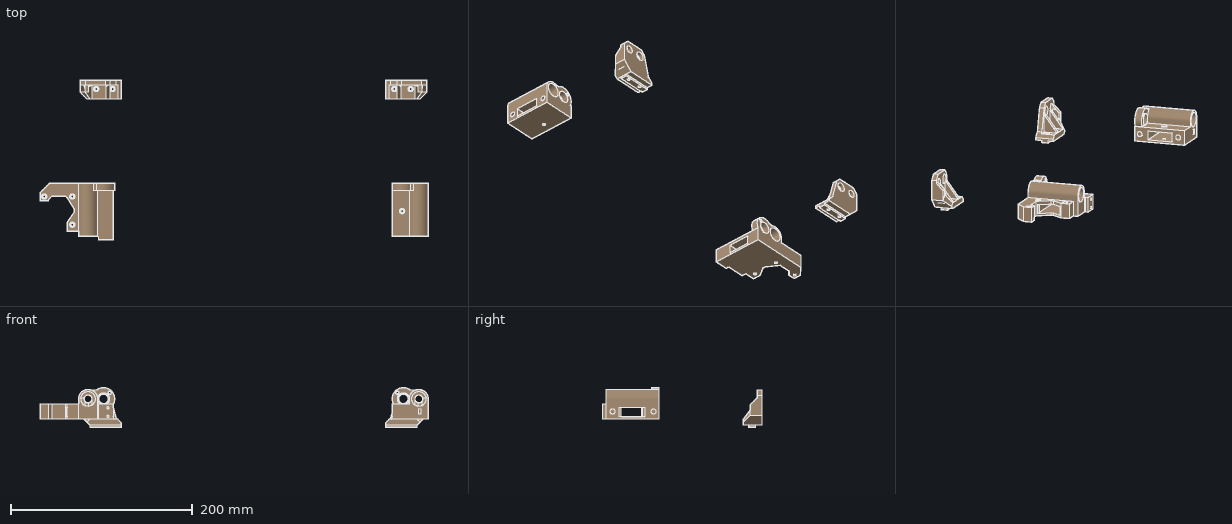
import cadquery as cq


bearing_x = -182.0
rod_pitch = 17.0
rod_x = bearing_x + rod_pitch
axis_z = 31.4

carriage_front = 3.8
carriage_back = 62.2
block_bottom = 9.2
block_top = 25.8
block_mid_z = (block_bottom + block_top) / 2
block_inner_x = -154.0
housing_radius = 10.5
bearing_bore_radius = 8.0
web_offset = 6.0
web_rise = 9.8
lug_depth = 8.2
lug_front = carriage_back - lug_depth
lug_top = 43.88
lug_radius = lug_top - axis_z
lug_bore_radius = 6.7
lug_pin_radius = 1.7
lug_pin_offset = 6.6
window_back = 46.6
window_left = -210.0
window_bottom = 11.8
window_top = 21.8
screw_radius = 1.6
counterbore_radius = 2.9
counterbore_depth = 3.0
wall_x = bearing_x + housing_radius
web_top = axis_z + web_rise

arm_left = -234.75
arm_chamfer = 10.3
arm_end_y = 42.7
arm_end_width = 9.3
arm_inner_y = 47.8
arm_relief = 3.6
motor_hole_pitch = 31.0
motor_hole_x = -230.3
motor_hole_y = 47.6
motor_window_front = 20.6
foot_front = 9.2
foot_left = -205.1
foot_notch_y = 19.0
notch_tip_x = -197.3
notch_tip_half = 1.6
notch_top_y = 46.2
clamp_step = 0.9
clamp_left = wall_x + clamp_step
clamp_hole_x = -160.2
clamp_hole_radius = 1.2
clamp_hole_heights = (12.2, 21.6)
clamp_hole_depth = 10.0

idler_inner_x = rod_x + lug_radius
idler_hole_x = 163.6
idler_hole_y = 31.5
idler_window_front = 18.2
side_hole_radius = 2.8
side_hole_front_inset = 7.4
side_hole_back_inset = 6.0
side_hole_ys = (carriage_front + side_hole_front_inset, carriage_back - side_hole_back_inset)
nut_slot_x = 183.0
nut_slot_width = 2.6
nut_slot_height = 5.5
nut_slot_depth = 8.5

bracket_back = 175.53
bracket_depth = 20.7
bracket_left = -190.8
bracket_right = -145.4
bracket_top = 41.2
plate_thickness = 5.5
base_bottom = 2.4
floor_z = 9.0
top_chamfer = 5.8
shoulder_x = -162.8
shoulder_run = 5.0
flank_x = -151.0
flank_z = 10.7
bottom_chamfer = 10.8
end_wall_depth = 13.2
end_wall_right = -185.2
end_wall_top = 32.5
ribs = ((-181.3, -177.5), (-162.2, -157.8))
rib_top = 29.0
key_width = 7.6
key_center_depth = 10.8
key_left = bracket_left + bottom_chamfer
bearing_rod_hole_radius = 4.2
plain_rod_hole_radius = 5.1
screw_hole_xs = (-173.0, -155.0)
screw_depth = 9.7


def box(x0, x1, y0, y1, z0, z1):
    """Box between two limits on each axis."""
    return cq.Workplane("XY").box(x1 - x0, y1 - y0, z1 - z0, centered=False).translate((x0, y0, z0))


def cylinder_y(x, z, radius, y0, y1):
    """Cylinder along Y from y0 to y1."""
    return cq.Workplane("XZ").center(x, z).circle(radius).extrude(y0 - y1).translate((0, y0, 0))


def cylinder_x(y, z, radius, x0, x1):
    """Cylinder along X from x0 to x1."""
    return cq.Workplane("YZ").center(y, z).circle(radius).extrude(x1 - x0).translate((x0, 0, 0))


def cylinder_z(x, y, radius, z0, z1):
    """Cylinder along Z from z0 to z1."""
    return cq.Workplane("XY").center(x, y).circle(radius).extrude(z1 - z0).translate((0, 0, z0))


def prism_y(points, y0, y1):
    """XZ outline extruded along Y from y0 to y1."""
    return cq.Workplane("XZ").polyline(points).close().extrude(y0 - y1).translate((0, y0, 0))


def prism_z(points, z0, z1):
    """XY outline extruded along Z from z0 to z1."""
    return cq.Workplane("XY").polyline(points).close().extrude(z1 - z0).translate((0, 0, z0))


def prism_x(points, x0, x1):
    """YZ outline extruded along X from x0 to x1."""
    return cq.Workplane("YZ").polyline(points).close().extrude(x1 - x0).translate((x0, 0, 0))


def counterbored_hole(x, y, top, bottom):
    """Vertical screw hole from top to bottom with a head recess at the top."""
    recess = cylinder_z(x, y, counterbore_radius, top - counterbore_depth, top)
    return cylinder_z(x, y, screw_radius, bottom, top).union(recess)


def mirrored(body):
    """Copy of a body reflected over X = 0."""
    return body.mirror("YZ")


def bearing_housing():
    """Round-topped housing along the bearing axis."""
    barrel = cylinder_y(bearing_x, axis_z, housing_radius, carriage_front, carriage_back)
    left = bearing_x - housing_radius
    return barrel.union(box(left, wall_x, carriage_front, carriage_back, block_bottom, axis_z))


def rod_lug():
    """Rounded lug at the back, joined to the housing by a flat-topped web."""
    web = box(bearing_x + web_offset, rod_x, lug_front, carriage_back, block_bottom, web_top)
    round_end = cylinder_y(rod_x, axis_z, lug_radius, lug_front, carriage_back)
    foot = box(rod_x, block_inner_x, lug_front, carriage_back, block_bottom, axis_z)
    return web.union(round_end).union(foot)


def carriage_bores(window_front):
    """Bearing bore, lug bore, the small lug pin hole and the belt window."""
    bearing_bore = cylinder_y(bearing_x, axis_z, bearing_bore_radius, carriage_front, carriage_back)
    lug_bore = cylinder_y(rod_x, axis_z, lug_bore_radius, lug_front, carriage_back)
    pin = cylinder_y(rod_x + lug_pin_offset, axis_z + lug_pin_offset, lug_pin_radius, lug_front, carriage_back)
    window = box(window_left, idler_inner_x, window_front, window_back, window_bottom, window_top)
    return bearing_bore.union(lug_bore).union(pin).union(window)


def motor_arm():
    """Plate for the stepper: an arm, a foot and a pointed notch between them."""
    right = bearing_x - housing_radius
    notch_mid_y = motor_hole_y - motor_hole_pitch / 2
    outline = [
        (right, carriage_back),
        (arm_left + arm_chamfer, carriage_back),
        (arm_left, carriage_back - arm_chamfer),
        (arm_left, arm_end_y),
        (arm_left + arm_end_width, arm_end_y),
        (arm_left + arm_end_width, arm_inner_y - arm_relief),
        (arm_left + arm_end_width + arm_relief, arm_inner_y),
        (foot_left - (arm_inner_y - notch_top_y), arm_inner_y),
        (foot_left, notch_top_y),
        (notch_tip_x, notch_mid_y + notch_tip_half),
        (notch_tip_x, notch_mid_y - notch_tip_half),
        (foot_left, foot_notch_y),
        (foot_left, foot_front),
        (right, foot_front),
    ]
    plate = prism_z(outline, block_bottom, block_top)
    inner_x = motor_hole_x + motor_hole_pitch
    inner_y = motor_hole_y - motor_hole_pitch
    for x, y in [(motor_hole_x, motor_hole_y), (inner_x, motor_hole_y), (inner_x, inner_y)]:
        plate = plate.cut(counterbored_hole(x, y, block_top, block_bottom))
    return plate


def make_motor_carriage():
    """Left carriage with the stepper arm and a clamp block reaching further forward."""
    clamp_outline = [
        (wall_x, carriage_back),
        (wall_x, carriage_front),
        (clamp_left, carriage_front - clamp_step),
        (clamp_left, 0),
        (block_inner_x, 0),
        (block_inner_x, carriage_back),
    ]
    block = prism_z(clamp_outline, block_bottom, block_top)
    body = bearing_housing().union(rod_lug()).union(block).union(motor_arm())
    body = body.cut(carriage_bores(motor_window_front))
    for z in clamp_hole_heights:
        body = body.cut(cylinder_y(clamp_hole_x, z, clamp_hole_radius, 0, clamp_hole_depth))
    return body


def make_idler_carriage():
    """Right carriage with a plain block, side holes and a nut slot."""
    block = box(wall_x, idler_inner_x, carriage_front, carriage_back, block_bottom, block_top)
    body = bearing_housing().union(rod_lug()).union(block).cut(carriage_bores(idler_window_front))
    body = mirrored(body)
    body = body.cut(counterbored_hole(idler_hole_x, idler_hole_y, block_top, block_bottom))
    outer_x = housing_radius - bearing_x
    for y in side_hole_ys:
        body = body.cut(cylinder_x(y, block_mid_z, side_hole_radius, -idler_inner_x, outer_x))
    nut_slot = box(
        nut_slot_x - nut_slot_width / 2,
        nut_slot_x + nut_slot_width / 2,
        carriage_front,
        carriage_front + nut_slot_depth,
        block_mid_z - nut_slot_height / 2,
        block_mid_z + nut_slot_height / 2,
    )
    return body.cut(nut_slot)


def bracket_outline():
    """XZ outline of the plate and base, starting at the bottom left."""
    return [
        (bracket_left + bottom_chamfer, base_bottom),
        (bracket_left, base_bottom + bottom_chamfer),
        (bracket_left, bracket_top - top_chamfer),
        (bracket_left + top_chamfer, bracket_top),
        (shoulder_x, bracket_top),
        (shoulder_x + shoulder_run, bracket_top - shoulder_run),
        (flank_x, flank_z),
        (bracket_right, flank_z - (bracket_right - flank_x)),
        (bracket_right, base_bottom),
    ]


def sloped_wall(x0, x1, top, foot, run):
    """Wall whose top slopes from the plate front down to its foot over the given run."""
    plate_front = bracket_back - plate_thickness
    front = plate_front - run
    points = [
        (bracket_back, base_bottom),
        (front, base_bottom),
        (front, foot),
        (plate_front, top),
        (bracket_back, top),
    ]
    return prism_x(points, x0, x1)


def front_corner():
    """Tool for the sloping facet that takes off the outer front corner of the base."""
    start = (bracket_left, bracket_back - end_wall_depth, base_bottom + bottom_chamfer)
    facet = cq.Plane(origin=start, xDir=(1, -1, -1), normal=(-1, -2, 1))
    beyond_facet = cq.Workplane(facet).rect(2 * bracket_depth, 2 * bracket_depth).extrude(bracket_depth)
    ahead_of_end_wall = box(
        bracket_left,
        ribs[0][1],
        bracket_back - bracket_depth,
        bracket_back - end_wall_depth,
        0,
        end_wall_top,
    )
    return beyond_facet.intersect(ahead_of_end_wall)


def make_bracket():
    """Left corner bracket: plate, base, end wall, two ribs and a key underneath."""
    front = bracket_back - bracket_depth
    plate_front = bracket_back - plate_thickness
    rib_run = bracket_depth - plate_thickness
    walls = box(bracket_left, bracket_right, plate_front, bracket_back, base_bottom, bracket_top)
    walls = walls.union(box(bracket_left, bracket_right, front, bracket_back, base_bottom, floor_z))
    for x0, x1 in ribs:
        walls = walls.union(sloped_wall(x0, x1, rib_top, floor_z, rib_run))
    corner_fill = sloped_wall(bracket_left, ribs[0][0], rib_top, floor_z, rib_run)
    end_wall_front = bracket_back - end_wall_depth
    fill_limit = box(bracket_left, ribs[0][0], front, end_wall_front, base_bottom, bracket_top)
    walls = walls.union(corner_fill.intersect(fill_limit))
    end_run = end_wall_depth - plate_thickness
    walls = walls.union(sloped_wall(bracket_left, end_wall_right, end_wall_top, end_wall_top - end_run, end_run))
    body = prism_y(bracket_outline(), front, bracket_back).intersect(walls)
    body = body.cut(front_corner())
    key_mid = bracket_back - key_center_depth
    body = body.union(
        box(key_left, bracket_right, key_mid - key_width / 2, key_mid + key_width / 2, 0, base_bottom)
    )
    for x, radius in [(bearing_x, bearing_rod_hole_radius), (rod_x, plain_rod_hole_radius)]:
        body = body.cut(cylinder_y(x, axis_z, radius, front, bracket_back))
    for x in screw_hole_xs:
        body = body.cut(counterbored_hole(x, bracket_back - screw_depth, floor_z, 0))
    return body


motor_carriage = make_motor_carriage()
idler_carriage = make_idler_carriage()
left_bracket = make_bracket()
brackets = [left_bracket, mirrored(left_bracket)]

result = cq.Compound.makeCompound(
    [motor_carriage.val(), idler_carriage.val(), *[bracket.val() for bracket in brackets]]
)